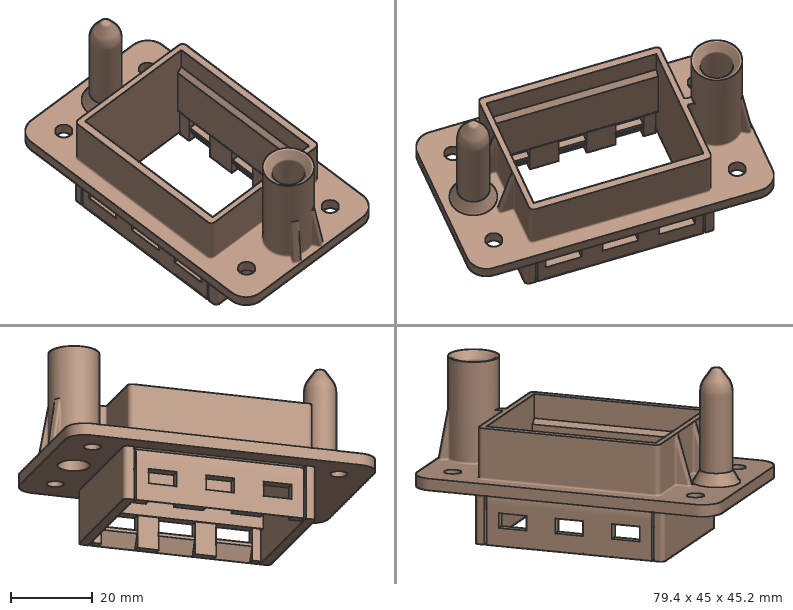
import cadquery as cq
import math


FLANGE_LENGTH = 79.3
FLANGE_WIDTH = 45.0
BLANK_LENGTH = FLANGE_LENGTH + 4.0
FLANGE_THICKNESS = 3.0
FLANGE_CORNER_RADIUS = 5.0
POST_X = 31.6
SCREW_Y = 14.35
SCREW_DIAMETER = 4.2

SHROUD_LENGTH = 47.2
SHROUD_WIDTH = 37.0
SHROUD_TOP = 15.85
SHROUD_CORNER_RADIUS = 1.2
SKIRT_LENGTH = 49.2
SKIRT_WIDTH = 35.6
SKIRT_BOTTOM = -13.65
SKIRT_CORNER_RADIUS = 1.1
ROOT_FILLET = 0.5

OPENING_LENGTH = 44.1
OPENING_WIDTH = 33.0
THROAT_WIDTH = 30.4
PANEL_GAP = 31.0
LEDGE_TOP = 9.75
LEDGE_DROP = 1.2

PANEL_LENGTH = 43.0
WINDOW_TOP = -5.3
WINDOW_BOTTOM = -9.05
WINDOW_PITCH = 14.75
FRONT_WINDOW_WIDTH = 9.3
BACK_WINDOW_WIDTH = 7.2
WINDOW_BAR_LAND = 0.9
WINDOW_BAR_THICKNESS = 2.05
WINDOW_BAR_TIP = 0.2
GROOVE_START = -3.1
GROOVE_BEND_TOP = -1.3
GROOVE_DEEPEST = -0.5
GROOVE_SLOPE = math.radians(13)

PIN_RADIUS = 4.0
PIN_FOOT_RADIUS = 5.55
PIN_ROOT_BEVEL = 0.3
PIN_FOOT_TOP = 6.0
PIN_SHANK_TOP = 25.9
PIN_SHOULDER_TOP = 28.6
PIN_TOP = 31.55
PIN_TIP_ANGLE = math.radians(35)
PIN_NOSE_FILLET = 0.9

SLEEVE_RADIUS = 6.25
SLEEVE_TOP = 28.7
SLEEVE_BORE_RADIUS = 4.0
SLEEVE_MOUTH_RADIUS = 5.75
SLEEVE_MOUTH_DEPTH = 2.0
SLEEVE_MOUTH_FILLET = 0.4

RIB_WIDTH = 2.0
RIB_EDGE_FILLET = 0.5
SHROUD_RIB_Y = 6.15
SHROUD_RIB_REACH = 3.8
SLEEVE_RIB_REACH = 2.35
SLEEVE_RIB_ANGLE = 30
SLEEVE_RIB_TOP = 15.6
RIB_EMBED = 1.0


def box_between(x_range, y_range, z_range):
    """Box spanning the given (low, high) limits on each axis."""
    (x0, x1), (y0, y1), (z0, z1) = x_range, y_range, z_range
    return cq.Workplane("XY").box(x1 - x0, y1 - y0, z1 - z0, centered=False).translate((x0, y0, z0))


def rounded_block(length, width, z0, z1, corner_radius):
    block = cq.Workplane("XY").workplane(offset=z0).rect(length, width).extrude(z1 - z0)
    return block.edges("|Z").fillet(corner_radius)


def slanted_rib(reach, top):
    """Wedge leaning on the plane X = 0, rising from the flange, with rounded sloping edges."""
    height = top - FLANGE_THICKNESS
    run_per_rise = reach / height
    rib = (
        cq.Workplane("XZ", origin=(0, RIB_WIDTH / 2, 0))
        .moveTo(-RIB_EMBED, FLANGE_THICKNESS - RIB_EMBED)
        .lineTo(reach + RIB_EMBED * run_per_rise, FLANGE_THICKNESS - RIB_EMBED)
        .lineTo(0, top)
        .lineTo(-RIB_EMBED, top)
        .close()
        .extrude(RIB_WIDTH)
    )
    slope = rib.faces(cq.selectors.DirectionNthSelector(cq.Vector(1, 0, run_per_rise), -1))
    return slope.edges("not |Y").fillet(RIB_EDGE_FILLET)


def blend_roots(body):
    """Round where shroud, sleeve and ribs meet the flange and where ribs meet the shroud and sleeve."""
    flange_top = cq.selectors.NearestToPointSelector((0, -FLANGE_WIDTH / 2, FLANGE_THICKNESS))
    outline = body.faces("|Z").faces(flange_top).val().innerWires()[0]
    above_flange = cq.selectors.BoxSelector(
        (-FLANGE_LENGTH / 2, -SHROUD_WIDTH / 3, FLANGE_THICKNESS + RIB_EMBED),
        (FLANGE_LENGTH / 2, SHROUD_WIDTH / 3, SHROUD_TOP + RIB_EMBED),
    )
    joints = body.edges("|Z or %ELLIPSE").edges(above_flange).vals()
    shroud_joints = [edge for edge in joints if edge.Center().x < POST_X - SLEEVE_RADIUS + RIB_EMBED]
    sleeve_joints = [
        edge for edge in joints
        if edge.geomType() == "LINE" and edge.Center().x > POST_X and abs(edge.Center().y) > RIB_WIDTH / 2
    ]
    return body.newObject(outline.Edges() + shroud_joints + sleeve_joints).fillet(ROOT_FILLET)


def make_superstructure():
    """Flange with shroud, sleeve and ribs, blended at their roots and trimmed to the flange outline."""
    body = cq.Workplane("XY").rect(BLANK_LENGTH, FLANGE_WIDTH).extrude(FLANGE_THICKNESS)
    shroud = rounded_block(SHROUD_LENGTH, SHROUD_WIDTH, 0, SHROUD_TOP, SHROUD_CORNER_RADIUS)
    sleeve = cq.Workplane("XY").center(POST_X, 0).circle(SLEEVE_RADIUS).extrude(SLEEVE_TOP)
    web = box_between(
        (SHROUD_LENGTH / 2 - RIB_EMBED, POST_X),
        (-RIB_WIDTH / 2, RIB_WIDTH / 2),
        (0, SHROUD_TOP),
    )
    body = body.union(shroud).union(sleeve).union(web)
    for side in (-1, 1):
        shroud_rib = slanted_rib(SHROUD_RIB_REACH, SHROUD_TOP).rotate((0, 0, 0), (0, 0, 1), 180)
        body = body.union(shroud_rib.translate((-SHROUD_LENGTH / 2, side * SHROUD_RIB_Y, 0)))
        sleeve_rib = slanted_rib(SLEEVE_RIB_REACH, SLEEVE_RIB_TOP).translate((SLEEVE_RADIUS, 0, 0))
        sleeve_rib = sleeve_rib.rotate((0, 0, 0), (0, 0, 1), side * SLEEVE_RIB_ANGLE)
        body = body.union(sleeve_rib.translate((POST_X, 0, 0)))
    outline = rounded_block(FLANGE_LENGTH, FLANGE_WIDTH, 0, SLEEVE_TOP, FLANGE_CORNER_RADIUS)
    return blend_roots(body).intersect(outline)


def make_guide_pin():
    """Turned pin with a flared foot, a curved shoulder and a conical tip."""
    shoulder_height = PIN_SHOULDER_TOP - PIN_SHANK_TOP
    shoulder_radius = shoulder_height / math.sin(PIN_TIP_ANGLE)
    shoulder_end = PIN_RADIUS - shoulder_radius * (1 - math.cos(PIN_TIP_ANGLE))
    half_angle = PIN_TIP_ANGLE / 2
    shoulder_middle = (
        PIN_RADIUS - shoulder_radius * (1 - math.cos(half_angle)),
        PIN_SHANK_TOP + shoulder_radius * math.sin(half_angle),
    )
    nose_radius = shoulder_end - (PIN_TOP - PIN_SHOULDER_TOP) * math.tan(PIN_TIP_ANGLE)
    pin = (
        cq.Workplane("XZ")
        .lineTo(PIN_FOOT_RADIUS + PIN_ROOT_BEVEL, 0)
        .lineTo(PIN_FOOT_RADIUS + PIN_ROOT_BEVEL, FLANGE_THICKNESS)
        .lineTo(PIN_FOOT_RADIUS, FLANGE_THICKNESS + PIN_ROOT_BEVEL)
        .lineTo(PIN_RADIUS, PIN_FOOT_TOP)
        .lineTo(PIN_RADIUS, PIN_SHANK_TOP)
        .threePointArc(shoulder_middle, (shoulder_end, PIN_SHOULDER_TOP))
        .lineTo(nose_radius, PIN_TOP)
        .lineTo(0, PIN_TOP)
        .close()
        .revolve(360, (0, 0, 0), (0, 1, 0))
    )
    pin = pin.faces(">Z").edges().fillet(PIN_NOSE_FILLET)
    return pin.translate((-POST_X, 0, 0))


def make_sleeve_bore():
    """Through bore of the guide sleeve with its lead-in cone."""
    bore = (
        cq.Workplane("XZ")
        .lineTo(SLEEVE_BORE_RADIUS, 0)
        .lineTo(SLEEVE_BORE_RADIUS, SLEEVE_TOP - SLEEVE_MOUTH_DEPTH)
        .lineTo(SLEEVE_MOUTH_RADIUS, SLEEVE_TOP)
        .lineTo(0, SLEEVE_TOP)
        .close()
        .revolve(360, (0, 0, 0), (0, 1, 0))
    )
    throat = cq.selectors.NearestToPointSelector((0, 0, SLEEVE_TOP - SLEEVE_MOUTH_DEPTH))
    return bore.edges("%CIRCLE").edges(throat).fillet(SLEEVE_MOUTH_FILLET).translate((POST_X, 0, 0))


def make_opening():
    """Central opening: wide above the ledges, narrowest below them, slightly wider between the panels."""
    ledge_bottom = LEDGE_TOP - LEDGE_DROP
    half_wide = OPENING_WIDTH / 2
    half_throat = THROAT_WIDTH / 2
    half_gap = PANEL_GAP / 2
    return (
        cq.Workplane("YZ", origin=(-OPENING_LENGTH / 2, 0, 0))
        .moveTo(-half_gap, SKIRT_BOTTOM)
        .lineTo(half_gap, SKIRT_BOTTOM)
        .lineTo(half_gap, WINDOW_TOP)
        .lineTo(half_throat, WINDOW_TOP)
        .lineTo(half_throat, ledge_bottom)
        .lineTo(half_wide, LEDGE_TOP)
        .lineTo(half_wide, SHROUD_TOP)
        .lineTo(-half_wide, SHROUD_TOP)
        .lineTo(-half_wide, LEDGE_TOP)
        .lineTo(-half_throat, ledge_bottom)
        .lineTo(-half_throat, WINDOW_TOP)
        .lineTo(-half_gap, WINDOW_TOP)
        .close()
        .extrude(OPENING_LENGTH)
    )


def make_groove():
    """Undercut along the +Y panel, just below the flange."""
    face = SKIRT_WIDTH / 2
    bend_height = GROOVE_BEND_TOP - GROOVE_START
    bend_radius = bend_height / math.sin(GROOVE_SLOPE)
    bend_end = face - bend_radius * (1 - math.cos(GROOVE_SLOPE))
    half_slope = GROOVE_SLOPE / 2
    bend_middle = (
        face - bend_radius * (1 - math.cos(half_slope)),
        GROOVE_START + bend_radius * math.sin(half_slope),
    )
    deepest = bend_end - (GROOVE_DEEPEST - GROOVE_BEND_TOP) * math.tan(GROOVE_SLOPE)
    return (
        cq.Workplane("YZ", origin=(-PANEL_LENGTH / 2, 0, 0))
        .moveTo(face, GROOVE_START)
        .threePointArc(bend_middle, (bend_end, GROOVE_BEND_TOP))
        .lineTo(deepest, GROOVE_DEEPEST)
        .lineTo(deepest - GROOVE_DEEPEST * math.tan(GROOVE_SLOPE), 0)
        .lineTo(face, 0)
        .close()
        .extrude(PANEL_LENGTH)
    )


def make_window(width):
    """Window through the +Y panel, with the bar below it bevelled on its inner side."""
    inner = SKIRT_WIDTH / 2 - WINDOW_BAR_THICKNESS
    outer = SKIRT_WIDTH / 2
    land_bottom = WINDOW_BOTTOM - WINDOW_BAR_LAND
    return (
        cq.Workplane("YZ", origin=(-width / 2, 0, 0))
        .moveTo(outer, WINDOW_TOP)
        .lineTo(outer, WINDOW_BOTTOM)
        .lineTo(inner, WINDOW_BOTTOM)
        .lineTo(inner, land_bottom)
        .lineTo(outer - WINDOW_BAR_TIP, SKIRT_BOTTOM)
        .lineTo(0, SKIRT_BOTTOM)
        .lineTo(0, WINDOW_TOP)
        .close()
        .extrude(width)
    )


def make_panel_cuts(window_width):
    """Everything removed from the +Y panel: windows, groove and the slits at both ends."""
    cuts = make_groove()
    for index in (-1, 0, 1):
        cuts = cuts.union(make_window(window_width).translate((index * WINDOW_PITCH, 0, 0)))
    outer = SKIRT_WIDTH / 2
    for end in (-1, 1):
        slit_x = sorted((end * PANEL_LENGTH / 2, end * OPENING_LENGTH / 2))
        cuts = cuts.union(box_between(slit_x, (0, outer), (SKIRT_BOTTOM, WINDOW_TOP)))
        cuts = cuts.union(box_between(slit_x, (OPENING_WIDTH / 2, outer), (WINDOW_TOP, 0)))
    return cuts


def make_skirt():
    return rounded_block(SKIRT_LENGTH, SKIRT_WIDTH, SKIRT_BOTTOM, 0, SKIRT_CORNER_RADIUS)


def make_screw_holes():
    spots = [(x, y) for x in (-POST_X, POST_X) for y in (-SCREW_Y, SCREW_Y)]
    return cq.Workplane("XY").pushPoints(spots).circle(SCREW_DIAMETER / 2).extrude(FLANGE_THICKNESS)


front_cuts = make_panel_cuts(FRONT_WINDOW_WIDTH).mirror("XZ")
back_cuts = make_panel_cuts(BACK_WINDOW_WIDTH)
skirt = make_skirt().cut(front_cuts).cut(back_cuts)

body = (
    make_superstructure()
    .union(make_guide_pin())
    .union(skirt)
    .cut(make_opening())
    .cut(make_sleeve_bore())
    .cut(make_screw_holes())
)
sleeve_rim = body.faces(cq.selectors.NearestToPointSelector((POST_X, 0, SLEEVE_TOP)))
result = sleeve_rim.edges(cq.selectors.RadiusNthSelector(0)).fillet(SLEEVE_MOUTH_FILLET)